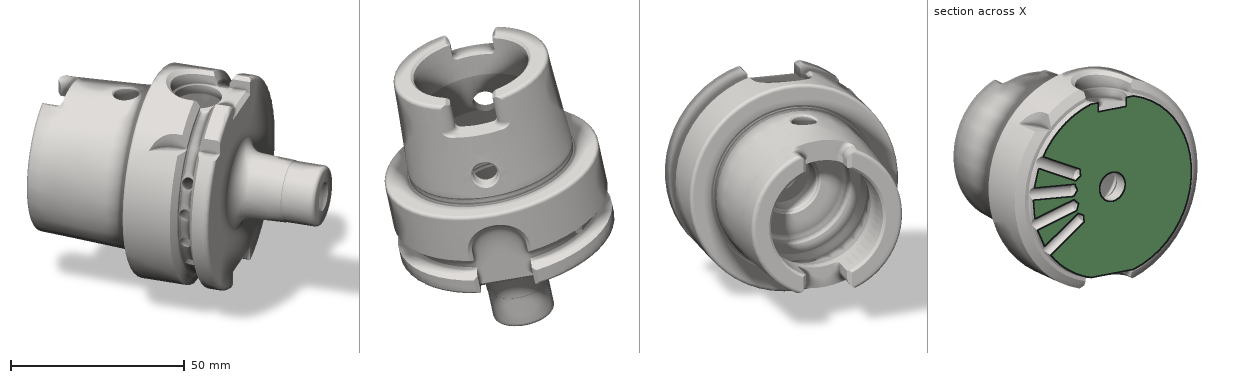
import cadquery as cq
import math


overall_length = 83

shank_length = 32.0
shank_base_radius = 24.2
shank_end_radius = 22.75
shank_end_fillet = 1.2

relief_start = -2.0
relief_floor_start = -1.6
relief_floor_end = -1.2
relief_end = -0.5
relief_radius = 24.0
relief_shoulder_radius = 24.15
face_groove_depth = 0.25
face_groove_middle_radius = 24.7
face_groove_outer_radius = 25.4

flange_width = 26.1
flange_diameter = 63.0
flange_radius = flange_diameter / 2
flange_front_fillet = 1.0
flange_back_fillet = 1.2

groove_center = 17.9
groove_mouth_width = 6.6
groove_wall_width = 3.7
groove_floor_width = 2.8
groove_wall_radius = 28.9
groove_floor_radius = 27.3
groove_corner = (groove_wall_width - groove_floor_width) / 2

nose_end = overall_length - shank_length
nose_radius = 9.0
nose_end_fillet = 1.2
collar_end = 40.9
collar_small_radius = 9.1
collar_large_radius = 9.6
collar_start = 30.55
neck_fillet = 4.8

cavity_mouth_radius = 16.9
cavity_mouth_chamfer = 0.75
cavity_cone_start = -19.25
cavity_cone_end = -6.3
cavity_recess_radius = 20.0
cavity_recess_end = 0.0
cavity_floor = 5.0
cavity_floor_fillet = 1.3

tube_seat_radius = 9.0
tube_seat_depth = 1.0
tube_bore_radius = 8.5
tube_bore_step = tube_seat_radius - tube_bore_radius
tube_bore_floor = 13.3
through_radius = 4.3
bore_chamfer = 0.5

notch_half_width = 6.2
notch_flare_radius = 3.0
notch_flare_height = 20.9
notch_corner_fillet = 1.5
notch_end_chamfer = 1.2
top_notch_depth = 6.15
bottom_notch_depth = 10.05

cross_hole_x = -9.05
cross_hole_radius = 3.65
cross_hole_chamfer = 0.5

keyway_center = 12.8
keyway_half_width = 8.0
keyway_floor = 26.3
keyway_rim_chamfer = 1.25
keyway_end_bevel = 1.25
pocket_radius = 7.0
pocket_depth = 2.7

orientation_wall = 19.9
orientation_cutter_radius = 7.5

balance_radius = 1.75
balance_depth = 14.1
balance_tip_angle = 118
balance_angles = (25, 5, -15, -35)

outside = flange_diameter

arc_inset = 1 - math.sqrt(0.5)


def revolve_about_x(outline):
    return outline.close().revolve(360, (0, 0, 0), (1, 0, 0))


def shank():
    outline = (
        cq.Workplane("XY")
        .moveTo(-shank_length, 0)
        .lineTo(-shank_length, shank_end_radius)
        .lineTo(relief_start, shank_base_radius)
        .lineTo(relief_floor_start, relief_radius)
        .lineTo(relief_floor_end, relief_radius)
        .lineTo(relief_end, relief_shoulder_radius)
        .lineTo(0, relief_shoulder_radius)
        .lineTo(0, 0)
    )
    body = revolve_about_x(outline).faces("<X").edges().fillet(shank_end_fillet)
    return drill_cross_hole(body)


def drill_cross_hole(body):
    """Hole along Z with its rim chamfered on both sides of the shank."""
    hole = (
        cq.Workplane("XY", origin=(cross_hole_x, 0, 0))
        .circle(cross_hole_radius)
        .extrude(flange_radius, both=True)
    )
    body = body.cut(hole)
    reach = cross_hole_radius + cross_hole_chamfer
    for low, high in ((cavity_recess_radius, flange_radius), (-flange_radius, -cavity_recess_radius)):
        rim = cq.selectors.BoxSelector(
            (cross_hole_x - reach, -reach, low),
            (cross_hole_x + reach, reach, high),
        )
        body = body.edges(rim).chamfer(cross_hole_chamfer)
    return body


def face_relief_cutter():
    """Shallow V-groove in the flange face around the shank root."""
    outline = (
        cq.Workplane("XY")
        .moveTo(relief_end, relief_shoulder_radius)
        .lineTo(face_groove_depth, face_groove_middle_radius)
        .lineTo(0, face_groove_outer_radius)
        .lineTo(relief_end, face_groove_outer_radius)
    )
    return revolve_about_x(outline)


def notch_cutter(depth):
    """Flared slot cutter for the +Z side, with rounded corners at its floor."""
    inner = cavity_mouth_radius / 2
    flare_start = notch_flare_height - notch_flare_radius
    flare_end = notch_half_width + notch_flare_radius
    side = 2 * notch_half_width
    flare_shift = notch_flare_radius * arc_inset
    flare_middle = (notch_half_width + flare_shift, notch_flare_height - flare_shift)
    half = (
        cq.Workplane("YZ", origin=(-shank_length, 0, 0))
        .moveTo(0, inner)
        .lineTo(notch_half_width, inner)
        .lineTo(notch_half_width, flare_start)
        .threePointArc(flare_middle, (flare_end, notch_flare_height))
        .lineTo(side, notch_flare_height)
        .lineTo(side, flange_radius)
        .lineTo(0, flange_radius)
        .close()
        .extrude(depth)
    )
    slot = half.union(half.mirror("XZ"))
    slot = slot.faces(">X").edges().fillet(notch_corner_fillet)
    mouth = (
        cq.Workplane("XY", origin=(-shank_length, 0, inner))
        .moveTo(0, -notch_half_width - notch_end_chamfer)
        .lineTo(notch_end_chamfer, -notch_half_width)
        .lineTo(notch_end_chamfer, notch_half_width)
        .lineTo(0, notch_half_width + notch_end_chamfer)
        .close()
        .extrude(flange_radius - inner)
    )
    return slot.union(mouth)


def flange_envelope():
    """Turned flange body with rounded rims and the gripper groove."""
    mouth = groove_mouth_width / 2
    wall = groove_wall_width / 2
    floor = groove_floor_width / 2
    outline = (
        cq.Workplane("XY")
        .lineTo(0, flange_radius)
        .lineTo(groove_center - mouth, flange_radius)
        .lineTo(groove_center - wall, groove_wall_radius)
        .lineTo(groove_center - wall, groove_floor_radius + groove_corner)
        .lineTo(groove_center - floor, groove_floor_radius)
        .lineTo(groove_center + floor, groove_floor_radius)
        .lineTo(groove_center + wall, groove_floor_radius + groove_corner)
        .lineTo(groove_center + wall, groove_wall_radius)
        .lineTo(groove_center + mouth, flange_radius)
        .lineTo(flange_width, flange_radius)
        .lineTo(flange_width, 0)
    )
    body = revolve_about_x(outline)
    body = body.faces("<X").edges(cq.selectors.RadiusNthSelector(-1)).fillet(flange_front_fillet)
    return body.faces(">X").edges().fillet(flange_back_fillet)


def keyway_cutter():
    """Round-ended slot for the +Z side, with a bevelled floor at its open end."""
    slot = (
        cq.Workplane("XY", origin=(0, 0, keyway_floor))
        .moveTo(flange_width, -keyway_half_width)
        .lineTo(keyway_center, -keyway_half_width)
        .threePointArc((keyway_center - keyway_half_width, 0), (keyway_center, keyway_half_width))
        .lineTo(flange_width, keyway_half_width)
        .close()
        .extrude(flange_radius)
    )
    end_bevel = (
        cq.Workplane("XZ")
        .moveTo(flange_width - keyway_end_bevel, keyway_floor)
        .lineTo(flange_width, keyway_floor - keyway_end_bevel)
        .lineTo(flange_width, keyway_floor)
        .close()
        .extrude(keyway_half_width, both=True)
    )
    return slot.union(end_bevel)


def flange():
    """Cylinder with chamfered keyways, trimmed to the turned outline, then pocketed."""
    blank = cq.Workplane("YZ").circle(flange_radius).extrude(flange_width)
    slot = keyway_cutter()
    blank = blank.cut(slot).cut(slot.mirror("XY"))
    rim_low = (keyway_floor + flange_radius) / 2
    rim_reach = keyway_half_width + keyway_rim_chamfer
    for low, high in ((rim_low, outside), (-outside, -rim_low)):
        rim = cq.selectors.BoxSelector((0, -rim_reach, low), (flange_width, rim_reach, high))
        blank = blank.edges(rim).chamfer(keyway_rim_chamfer)
    body = blank.intersect(flange_envelope())
    pocket = (
        cq.Workplane("XY", origin=(keyway_center, 0, keyway_floor - pocket_depth))
        .circle(pocket_radius)
        .extrude(pocket_depth)
    )
    return body.cut(pocket)


def orientation_cutter():
    """Milled corner on the -Y, +Z side with a vertical wall and a flat floor."""
    axis_y = -orientation_wall - orientation_cutter_radius
    plane = cq.Workplane("XY", origin=(0, 0, orientation_wall))
    round_end = plane.center(keyway_center, axis_y).circle(orientation_cutter_radius).extrude(outside)
    run = (
        plane.moveTo(keyway_center, -orientation_wall)
        .lineTo(flange_width, -orientation_wall)
        .lineTo(flange_width, -outside)
        .lineTo(keyway_center, -outside)
        .close()
        .extrude(outside)
    )
    return round_end.union(run)


def balance_cutter(angle):
    """Radial drilled hole from the groove floor, measured from -Y towards +Z."""
    bottom = groove_floor_radius - balance_depth
    tip = balance_radius / math.tan(math.radians(balance_tip_angle / 2))
    drill = (
        cq.Workplane("XY")
        .moveTo(groove_center, -bottom + tip)
        .lineTo(groove_center + balance_radius, -bottom)
        .lineTo(groove_center + balance_radius, -groove_wall_radius)
        .lineTo(groove_center, -groove_wall_radius)
        .close()
        .revolve(360, (groove_center, 0, 0), (groove_center, 1, 0))
    )
    return drill.rotate((0, 0, 0), (1, 0, 0), -angle)


def nose():
    """Tapered collar and cylindrical tip, blended into the flange by a tangent arc."""
    slope = math.atan2(collar_large_radius - collar_small_radius, collar_end - collar_start)
    center_x = collar_start + neck_fillet * math.sin(slope)
    center_r = collar_large_radius + neck_fillet * math.cos(slope)
    face_angle = math.acos((center_x - flange_width) / neck_fillet)
    end_angle = math.pi / 2 - slope

    def on_fillet(angle):
        return (center_x - neck_fillet * math.cos(angle), center_r - neck_fillet * math.sin(angle))

    root = on_fillet(face_angle)
    outline = (
        cq.Workplane("XY")
        .moveTo(groove_center, 0)
        .lineTo(groove_center, root[1])
        .lineTo(*root)
        .threePointArc(on_fillet((face_angle + end_angle) / 2), (collar_start, collar_large_radius))
        .lineTo(collar_end, collar_small_radius)
        .lineTo(collar_end + collar_small_radius - nose_radius, nose_radius)
        .lineTo(nose_end, nose_radius)
        .lineTo(nose_end, 0)
    )
    return revolve_about_x(outline).faces(">X").edges().fillet(nose_end_fillet)


def cavity_cutter():
    floor_round = cavity_floor_fillet * arc_inset
    outline = (
        cq.Workplane("XY")
        .moveTo(-shank_length, 0)
        .lineTo(-shank_length, cavity_mouth_radius + cavity_mouth_chamfer)
        .lineTo(-shank_length + cavity_mouth_chamfer, cavity_mouth_radius)
        .lineTo(cavity_cone_start, cavity_mouth_radius)
        .lineTo(cavity_cone_end, cavity_recess_radius)
        .lineTo(cavity_recess_end, cavity_recess_radius)
        .lineTo(cavity_recess_end, cavity_mouth_radius)
        .lineTo(cavity_floor - cavity_floor_fillet, cavity_mouth_radius)
        .threePointArc(
            (cavity_floor - floor_round, cavity_mouth_radius - floor_round),
            (cavity_floor, cavity_mouth_radius - cavity_floor_fillet),
        )
        .lineTo(cavity_floor, 0)
    )
    return revolve_about_x(outline)


def bore_cutter():
    """Chamfered coolant tube seat, its bore and the bore through the nose."""
    seat_end = cavity_floor + tube_seat_depth
    outline = (
        cq.Workplane("XY")
        .moveTo(cavity_floor, 0)
        .lineTo(cavity_floor, tube_seat_radius + bore_chamfer)
        .lineTo(cavity_floor + bore_chamfer, tube_seat_radius)
        .lineTo(seat_end, tube_seat_radius)
        .lineTo(seat_end + tube_bore_step, tube_bore_radius)
        .lineTo(tube_bore_floor, tube_bore_radius)
        .lineTo(tube_bore_floor, through_radius + bore_chamfer)
        .lineTo(tube_bore_floor + bore_chamfer, through_radius)
        .lineTo(nose_end, through_radius)
        .lineTo(nose_end, 0)
    )
    return revolve_about_x(outline)


holder = shank().union(flange()).union(nose())
holder = holder.cut(face_relief_cutter())
holder = holder.cut(cavity_cutter()).cut(bore_cutter())
holder = holder.cut(notch_cutter(top_notch_depth))
holder = holder.cut(notch_cutter(bottom_notch_depth).mirror("XY"))
holder = holder.cut(orientation_cutter())
for angle in balance_angles:
    holder = holder.cut(balance_cutter(angle))

result = holder